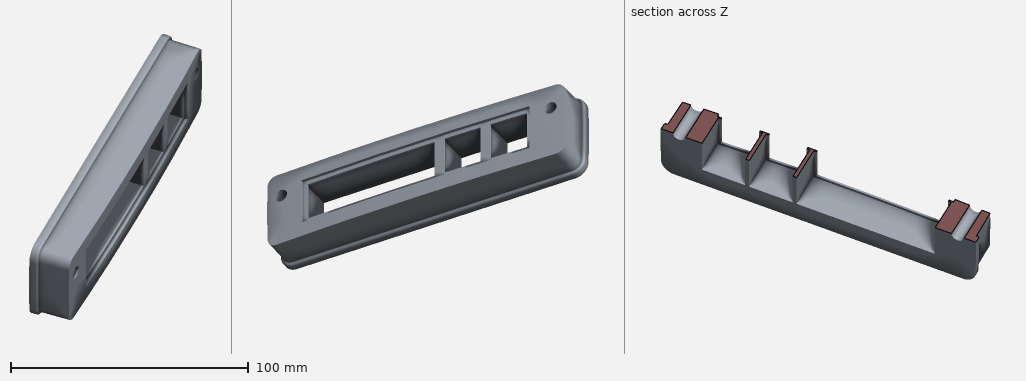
import cadquery as cq

length = 147.0
height = 39.0
depth = 19.0
end_depth = 17.3

flange_thickness = 3.7
flange_corner = 6.0
flange_edge_fillet = 1.0
end_bow = 0.5

body_inset = 1.3
body_draft = 1.0

window_height = 20.1
divider = 1.9
windows_length = 108.5
lip_width = 1.3
lip_thickness = 0.9
square_windows = 2

recess_margin = 0.7
recess_depth = 1.5

hole_diameter = 5.7
hole_spacing = 129.8
hole_height = 6.6


def block(start, thickness, y_center, y_size, z_size):
    """Box centred on Z = 0, running along X from start."""
    return cq.Workplane("XY").box(thickness, y_size, z_size).translate((start + thickness / 2, y_center, 0))


def bowed_profile(offset):
    """Solid from X = 0 to the bowed back surface, with the back moved forward by offset."""
    return (
        cq.Workplane("XY")
        .moveTo(0, -length / 2)
        .lineTo(end_depth - offset, -length / 2)
        .threePointArc((depth - offset, 0), (end_depth - offset, length / 2))
        .lineTo(0, length / 2)
        .close()
        .extrude(height / 2, both=True)
    )


def rounded_plate(inset, thickness, taper=0):
    """Plate from X = 0 with bowed short ends and rounded corners, set in from the overall outline."""
    y_end = length / 2 - inset
    y_corner = y_end - end_bow
    z_edge = height / 2 - inset
    outline = (
        cq.Sketch()
        .segment((-y_corner, z_edge), (y_corner, z_edge))
        .arc((y_corner, z_edge), (y_end, 0), (y_corner, -z_edge))
        .segment((y_corner, -z_edge), (-y_corner, -z_edge))
        .arc((-y_corner, -z_edge), (-y_end, 0), (-y_corner, z_edge))
        .assemble()
        .vertices()
        .fillet(flange_corner - inset)
    )
    return cq.Workplane("YZ").placeSketch(outline).extrude(thickness, taper=taper)


def make_flange():
    return rounded_plate(0, flange_thickness).faces(">X").edges().fillet(flange_edge_fillet)


def make_body():
    return rounded_plate(body_inset, depth, body_draft).intersect(bowed_profile(0))


def cut_recess(part):
    margin = 2 * recess_margin
    zone = block(0, depth, 0, windows_length + margin, window_height + margin)
    return part.cut(zone.cut(bowed_profile(recess_depth)))


def cut_window(part, y_center, y_size):
    """Deep pocket from the front that leaves a lip behind it, and the opening through the lip."""
    pocket = block(0, depth, y_center, y_size, window_height)
    pocket = pocket.intersect(bowed_profile(recess_depth + lip_thickness))
    opening = block(0, depth, y_center, y_size - 2 * lip_width, window_height - 2 * lip_width)
    return part.cut(pocket).cut(opening)


result = cut_recess(make_flange().union(make_body()))

window_top = windows_length / 2
for _ in range(square_windows):
    result = cut_window(result, window_top - window_height / 2, window_height)
    window_top -= window_height + divider
long_window = window_top + windows_length / 2
result = cut_window(result, window_top - long_window / 2, long_window)

for side in (-1, 1):
    hole = (
        cq.Workplane("YZ")
        .center(side * hole_spacing / 2, hole_height)
        .circle(hole_diameter / 2)
        .extrude(depth)
    )
    result = result.cut(hole)